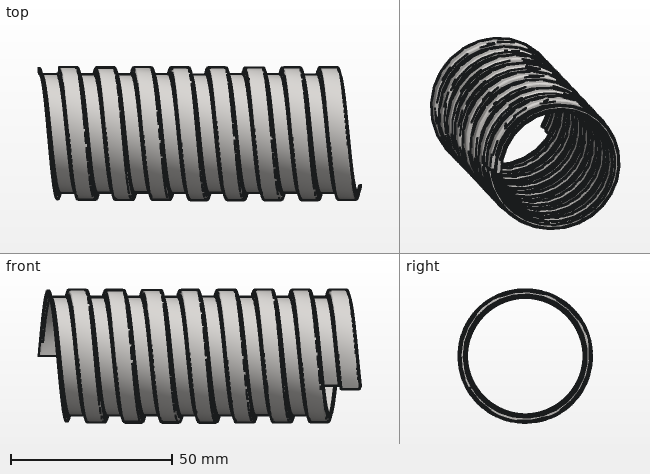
import cadquery as cq


total_length = 100.0
full_turns = 7
end_angle = 210.0

wall = 0.3
crest_radius = 20.7
valley_radius = 18.5
flange = 0.35
outer_bend = 0.6

overlap = wall + 2 * flange
turns = full_turns + end_angle / 360
pitch = (total_length - overlap) / (turns + 1)
strip_width = pitch + overlap

tight_bend = outer_bend - wall
wide_bend = outer_bend + wall

band_width = (pitch + wall) / 2
lip_wall = flange
rise_wall = lip_wall + band_width
foot_wall = rise_wall + band_width

lip_radius = crest_radius - wall
foot_radius = valley_radius + wall
bore_radius = valley_radius - wall


def strip_section():
    """Face of the strip section in the XZ plane: radius along X, tube axis along Z.

    The section is centred on the XY plane, so that it sits at the first point of the helix.
    """
    outer_corners = [
        (0, lip_radius, 0),
        (lip_wall, lip_radius, tight_bend),
        (lip_wall, valley_radius, outer_bend),
        (rise_wall, valley_radius, outer_bend),
        (rise_wall, crest_radius, outer_bend),
        (foot_wall, crest_radius, outer_bend),
        (foot_wall, foot_radius, tight_bend),
        (strip_width, foot_radius, 0),
    ]
    inner_corners = [
        (strip_width, valley_radius, 0),
        (foot_wall - wall, valley_radius, outer_bend),
        (foot_wall - wall, crest_radius - wall, tight_bend),
        (rise_wall + wall, crest_radius - wall, tight_bend),
        (rise_wall + wall, bore_radius, wide_bend),
        (lip_wall - wall, bore_radius, wide_bend),
        (lip_wall - wall, lip_radius - wall, 0),
        (0, lip_radius - wall, 0),
    ]
    corners = outer_corners + inner_corners
    points = [cq.Vector(radius, 0, place - strip_width / 2) for place, radius, _ in corners]
    face = cq.Face.makeFromWires(cq.Wire.makePolygon(points, close=True))
    for point, (_, _, bend) in zip(points, corners):
        if bend > 0:
            corner = min(face.Vertices(), key=lambda vertex: (vertex.Center() - point).Length)
            face = face.fillet2D(bend, [corner])
    return face


def wind_strip():
    """Sweep the strip section along a right-handed helix around the Z axis."""
    helix = cq.Wire.makeHelix(pitch, pitch * turns, valley_radius)
    return cq.Solid.sweep(strip_section().outerWire(), [], helix, makeSolid=True, isFrenet=True)


tube = cq.Workplane(obj=wind_strip())
result = tube.rotate((0, 0, 0), (1, 1, 1), 120).translate((strip_width / 2, 0, 0))